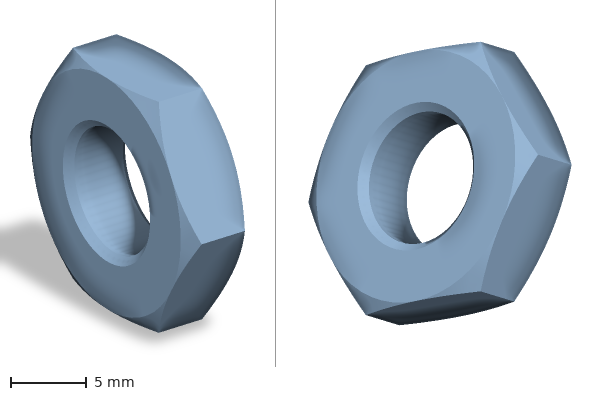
import cadquery as cq
import math

across_corners = 19.63
thickness = 5.0
bore_diameter = 8.91
countersink_diameter = 10.0
corner_chamfer_angle = 30.0

corner_radius = across_corners / 2
flat_radius = corner_radius * math.cos(math.radians(30))
corner_chamfer_depth = (corner_radius - flat_radius) * math.tan(math.radians(corner_chamfer_angle))
countersink_depth = (countersink_diameter - bore_diameter) / 2
half_thickness = thickness / 2


def hexagon_body():
    return cq.Workplane("XZ").polygon(6, across_corners).extrude(half_thickness, both=True)


def chamfer_envelope():
    """Revolved blank whose conical ends trim the hexagon corners."""
    shoulder = half_thickness - corner_chamfer_depth
    profile = [
        (0, -half_thickness),
        (flat_radius, -half_thickness),
        (corner_radius, -shoulder),
        (corner_radius, shoulder),
        (flat_radius, half_thickness),
        (0, half_thickness),
    ]
    return cq.Workplane("XY").polyline(profile).close().revolve(360, (0, 0), (0, 1))


def countersunk_bore():
    """Through bore with a conical countersink at both ends."""
    bore_radius = bore_diameter / 2
    countersink_radius = countersink_diameter / 2
    countersink_bottom = half_thickness - countersink_depth
    profile = [
        (0, -half_thickness),
        (countersink_radius, -half_thickness),
        (bore_radius, -countersink_bottom),
        (bore_radius, countersink_bottom),
        (countersink_radius, half_thickness),
        (0, half_thickness),
    ]
    return cq.Workplane("XY").polyline(profile).close().revolve(360, (0, 0), (0, 1))


result = hexagon_body().intersect(chamfer_envelope()).cut(countersunk_bore())